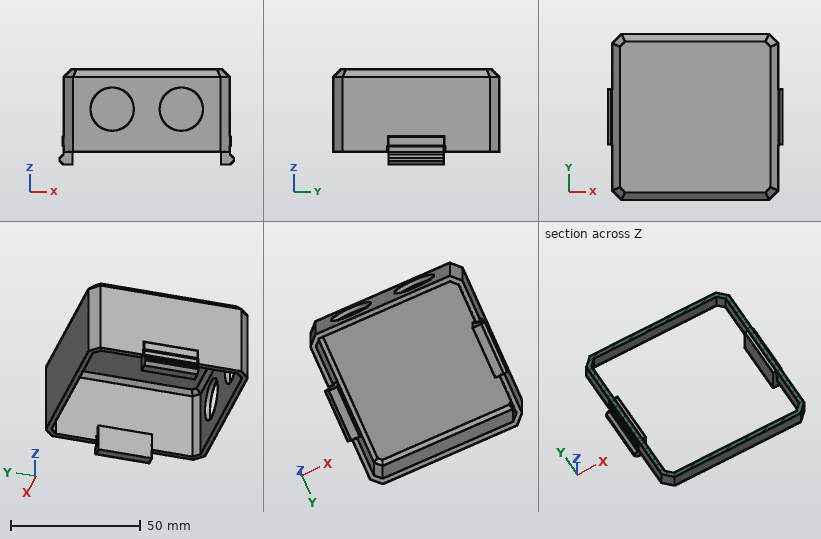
import cadquery as cq

BOX_SIDE = 64.4
BOX_HEIGHT = 32.0
CORNER_CHAMFER = 3.7
TOP_CHAMFER = 3.05
WALL = 2.0

HOLE_DIAMETER = 16.75
HOLE_SPACING = 26.8
HOLE_CENTER_Z = 16.5

OVERALL_X = 67.6
OVERALL_Z = 37.0
CLIP_WIDTH = 21.5
CLIP_THICKNESS = 3.5
CLIP_STEP = 0.1
LUG_TOP = -1.0

NOTCH_WIDTH = 22.5
NOTCH_HEIGHT = 2.1
PAD_WIDTH = 22.05
PAD_TOP = 6.15
PAD_DEPTH = 0.35

HALF_SIDE = BOX_SIDE / 2
CLIP_INNER_X = HALF_SIDE - CLIP_THICKNESS
CLIP_BOTTOM = BOX_HEIGHT - OVERALL_Z


def make_box():
    """Chamfered block hollowed to an even wall, leaving the bottom open."""
    block = (
        cq.Workplane("XY")
        .rect(BOX_SIDE, BOX_SIDE)
        .extrude(BOX_HEIGHT)
        .edges("|Z")
        .chamfer(CORNER_CHAMFER)
        .faces(">Z")
        .chamfer(TOP_CHAMFER)
    )
    return block.faces("<Z").shell(-WALL)


def make_holes():
    """Cylinders that pierce the front wall only."""
    return (
        cq.Workplane("XZ", origin=(0, -HALF_SIDE, HOLE_CENTER_Z))
        .pushPoints([(-HOLE_SPACING / 2, 0), (HOLE_SPACING / 2, 0)])
        .circle(HOLE_DIAMETER / 2)
        .extrude(-WALL)
    )


def make_notch():
    """Cut through the lower edge of the +X wall that clears the clip."""
    return (
        cq.Workplane("XY")
        .center(HALF_SIDE, 0)
        .rect(2 * WALL, NOTCH_WIDTH)
        .extrude(NOTCH_HEIGHT)
    )


def make_clip():
    """Leg along the inside of the +X wall, ending below the box in an outward lug with 45 degree slopes."""
    tip_x = OVERALL_X / 2
    leg_x = HALF_SIDE + CLIP_STEP
    lug_depth = tip_x - leg_x
    profile = [
        (CLIP_INNER_X, PAD_TOP),
        (HALF_SIDE, PAD_TOP),
        (HALF_SIDE, 0),
        (leg_x, 0),
        (leg_x, LUG_TOP),
        (tip_x, LUG_TOP - lug_depth),
        (tip_x, CLIP_BOTTOM + lug_depth),
        (leg_x, CLIP_BOTTOM),
        (CLIP_INNER_X, CLIP_BOTTOM),
    ]
    return cq.Workplane("XZ").polyline(profile).close().extrude(CLIP_WIDTH / 2, both=True)


def make_pad():
    """Low pad with 45 degree sides on the outer face of the +X wall."""
    pad_height = PAD_TOP - NOTCH_HEIGHT
    return (
        cq.Workplane("YZ", origin=(HALF_SIDE - WALL, 0, NOTCH_HEIGHT + pad_height / 2))
        .rect(PAD_WIDTH, pad_height)
        .extrude(WALL + PAD_DEPTH)
        .faces(">X")
        .chamfer(PAD_DEPTH)
    )


def on_both_sides(feature):
    """The +X feature together with its mirror image on the -X wall."""
    return feature.union(feature.mirror("YZ"))


result = (
    make_box()
    .cut(make_holes())
    .cut(on_both_sides(make_notch()))
    .union(on_both_sides(make_pad()))
    .union(on_both_sides(make_clip()))
)